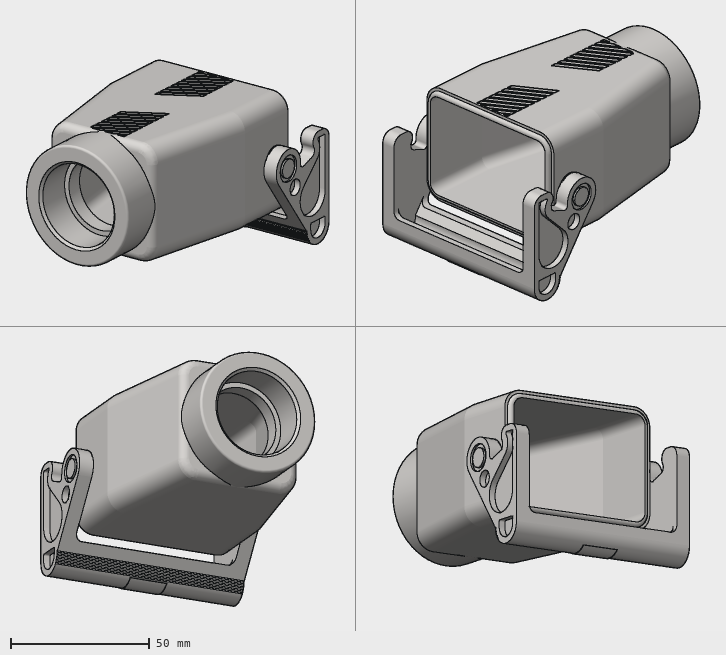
import cadquery as cq
import math


hood_half_width = 31.42
hood_half_height = 23.0
taper_start_y = -27.8
hood_end_y = -73.3
taper_angle = 10.4
corner_radius = 7.0
end_round = 3.2
wall = 3.0

lip_height = 1.4
lip_inset = 1.2

collar_radius = hood_half_height
collar_end_y = -88.4
collar_edge_round = 0.9
bore_radius = 15.95
bore_chamfer = 1.05
bore_depth = 14.5
throat_radius = 14.0
throat_length = 6.5

hatch_half_width = 7.6
hatch_top_y = -2.4
hatch_bottom_y = -69.7
hatch_angle = 30.0
band_pitch = 3.25
band_height = 2.2
engraving_depth = 0.2
mating_end_band_y = -1.4
mating_end_band_count = 9
collar_end_band_y = -50.8
collar_end_band_count = 9

lever_half_width = 37.5
lever_inner_half_width = 31.95
lever_back_y = 15.5
lever_wall = 2.45
lever_recess_depth = 2.5

pivot_y = -9.6
pivot_z = -2.0
pivot_radius = 7.5
pivot_groove_radius = 5.1
pivot_pin_radius = 3.65
pivot_groove_depth = 0.8
boss_radius = pivot_z + pivot_radius

eye_y = -5.45
eye_z = -10.6
eye_radius = 3.1

tip_back_radius = 4.0
nose_radius = 3.5
tip_top_z = 6.65
nose_y = 9.05
hook_z = 0.0
hook_radius = 2.3
nose_z = tip_top_z - nose_radius
hook_y = nose_y - math.sqrt((nose_radius + hook_radius) ** 2 - (nose_z - hook_z) ** 2)
hook_recess_radius = 5.55
ramp_end_y = pivot_y + pivot_radius
ramp_end_z = -4.7
ramp_round = 1.4

roll_radius = 6.9
roll_z = -30.2
roll_y = lever_back_y - roll_radius

crossbar_top_z = -26.1
crossbar_corner_radius = 2.8
channel_radius = roll_radius - lever_wall
channel_front_y = 1.84

recess_radius = 7.7
recess_z = -17.4
foot_recess_top_z = -27.7
recess_corner_round = 0.6

grip_groove_count = 5
grip_groove_angle = 9.0
grip_groove_radius = 0.25

badge_width = 14.6
badge_height = 0.2
badge_top_z = -35.0


def polar(center, radius, angle):
    """Point on a circle, with the angle in radians."""
    return center[0] + radius * math.cos(angle), center[1] + radius * math.sin(angle)


def heading(start, end):
    """Direction from one point to another, in radians."""
    return math.atan2(end[1] - start[1], end[0] - start[0])


def hood_outline(inset):
    """Plan of the hood from the mating face to its end, with parallel inset sides."""
    half_angle = math.radians(taper_angle) / 2
    shoulder_x = hood_half_width - inset
    shoulder_y = taper_start_y + inset * math.tan(half_angle)
    end_x = shoulder_x - (shoulder_y - hood_end_y) * math.tan(math.radians(taper_angle))
    return [
        (shoulder_x, -lip_height),
        (shoulder_x, shoulder_y),
        (end_x, hood_end_y),
        (-end_x, hood_end_y),
        (-shoulder_x, shoulder_y),
        (-shoulder_x, -lip_height),
    ]


def hood_block(inset):
    """Tapered block with rounded long edges, each side moved in by the inset."""
    half_height = hood_half_height - inset
    block = (
        cq.Workplane("XY")
        .workplane(offset=-half_height)
        .polyline(hood_outline(inset))
        .close()
        .extrude(2 * half_height)
    )
    long_edges = block.faces("|Z").edges("not |X")
    return long_edges.fillet(corner_radius - inset)


def y_cylinder(radius, start_y, end_y):
    """Cylinder on the hood axis between two Y positions."""
    return cq.Workplane("XZ", origin=(0, start_y, 0)).circle(radius).extrude(start_y - end_y)


def mating_block(inset, start_y, length):
    """Rounded rectangular block with the hood's cross-section, running to -Y."""
    return (
        cq.Workplane("XZ", origin=(0, start_y, 0))
        .rect(2 * (hood_half_width - inset), 2 * (hood_half_height - inset))
        .extrude(length)
        .edges("|Y")
        .fillet(corner_radius - inset)
    )


def make_hood():
    """Hood with its gasket lip, collar, bore and inner cavity."""
    body = hood_block(0).faces("<Y").edges().fillet(end_round)
    lip = mating_block(lip_inset, 0, 2 * lip_height).faces(">Y").edges().fillet(lip_height)
    collar = y_cylinder(collar_radius, hood_end_y + 2 * end_round, collar_end_y)
    collar = collar.faces("<Y").edges().fillet(collar_edge_round)
    hood = body.union(lip).union(collar)

    throat_start_y = collar_end_y + bore_depth
    cavity_end_y = throat_start_y + throat_length
    keep_rear = cq.Workplane("XY").box(
        2 * hood_half_width,
        -lip_height - cavity_end_y,
        2 * hood_half_height,
    ).translate((0, (cavity_end_y - lip_height) / 2, 0))
    cavity = hood_block(wall).intersect(keep_rear).union(mating_block(wall, 0, 2 * lip_height))
    bore = y_cylinder(bore_radius, throat_start_y, collar_end_y)
    mouth = (
        cq.Workplane("XZ", origin=(0, collar_end_y, 0))
        .circle(bore_radius + bore_chamfer)
        .workplane(offset=-bore_chamfer)
        .circle(bore_radius)
        .loft()
    )
    throat = y_cylinder(throat_radius, cavity_end_y, throat_start_y)
    return hood.cut(cavity).cut(bore).cut(mouth).cut(throat)


def hatch_bands(first_y, count):
    """Slanting bands, given the left-edge Y of the first band's upper side."""
    rise = 2 * hatch_half_width * math.tan(math.radians(hatch_angle))
    floor_z = hood_half_height - engraving_depth
    bands = cq.Workplane("XY", origin=(0, 0, floor_z))
    for index in range(count):
        top_y = first_y - index * band_pitch
        bottom_y = top_y - band_height
        bands = bands.polyline(
            [
                (-hatch_half_width, top_y),
                (-hatch_half_width, bottom_y),
                (hatch_half_width, bottom_y + rise),
                (hatch_half_width, top_y + rise),
            ]
        ).close()
    return bands.extrude(2 * engraving_depth)


def make_hatching():
    """Both fields of hatching, trimmed to the decorative strip."""
    length = hatch_top_y - hatch_bottom_y
    strip = (
        cq.Workplane("XY", origin=(0, (hatch_top_y + hatch_bottom_y) / 2, hood_half_height))
        .box(2 * hatch_half_width, length, 4 * engraving_depth)
    )
    mating_end_field = hatch_bands(mating_end_band_y, mating_end_band_count)
    collar_end_field = hatch_bands(collar_end_band_y, collar_end_band_count)
    return mating_end_field.union(collar_end_field).intersect(strip)


def front_edge_normal():
    """Direction square to the front edge, which runs from the roll to touch the pivot eye."""
    pivot = (pivot_y, pivot_z)
    roll_front = (roll_y - roll_radius, roll_z)
    return heading(pivot, roll_front) - math.acos(pivot_radius / math.dist(roll_front, pivot))


def lever_side():
    """Lever cross-section in YZ, extruded over the full width."""
    pivot = (pivot_y, pivot_z)
    nose = (nose_y, nose_z)
    hook = (hook_y, hook_z)
    roll_front = (roll_y - roll_radius, roll_z)
    ramp_end = (ramp_end_y, ramp_end_z)
    eye_rear = (pivot_y + pivot_radius, pivot_z)

    eye_touch = polar(pivot, pivot_radius, front_edge_normal())

    hook_offset = math.acos(hook_radius / math.dist(ramp_end, hook))
    ramp_touch_angle = heading(hook, ramp_end) + hook_offset
    ramp_touch = polar(hook, hook_radius, ramp_touch_angle)
    hook_touch = polar(hook, hook_radius, heading(hook, nose))
    hook_middle = polar(hook, hook_radius, (heading(hook, nose) + ramp_touch_angle) / 2)

    profile = (
        cq.Workplane("YZ", origin=(-lever_half_width, 0, 0))
        .moveTo(*roll_front)
        .lineTo(*eye_touch)
        .threePointArc(polar(pivot, pivot_radius, math.pi / 2), eye_rear)
        .lineTo(*ramp_end)
        .lineTo(*ramp_touch)
        .threePointArc(hook_middle, hook_touch)
        .threePointArc(polar(nose, nose_radius, 3 * math.pi / 4), (nose_y, tip_top_z))
        .lineTo(lever_back_y - tip_back_radius, tip_top_z)
        .tangentArcPoint((lever_back_y, tip_top_z - tip_back_radius), relative=False)
        .lineTo(lever_back_y, roll_z)
        .threePointArc((roll_y, roll_z - roll_radius), roll_front)
        .close()
        .extrude(2 * lever_half_width)
    )
    ramp_corner = cq.selectors.NearestToPointSelector((0, ramp_end_y, ramp_end_z))
    return profile.edges("|X").edges(ramp_corner).fillet(ramp_round)


def crossbar_window():
    """Opening between the arms, above the crossbar, that clears the hood."""
    height = tip_top_z - crossbar_top_z + crossbar_corner_radius
    return (
        cq.Workplane("XZ", origin=(0, 0, crossbar_top_z + height / 2))
        .rect(2 * lever_inner_half_width, height)
        .extrude(3 * lever_back_y, both=True)
        .edges("|Y")
        .fillet(crossbar_corner_radius)
    )


def crossbar_channel():
    """Trough along the crossbar, round below, with a front wall that slants like the outside."""
    rear_y = roll_y + channel_radius
    front_y = roll_y - channel_radius
    slant = math.tan(front_edge_normal())
    slant_start_z = crossbar_top_z - (front_y - channel_front_y) / slant
    top_z = crossbar_top_z + crossbar_corner_radius
    return (
        cq.Workplane("YZ", origin=(-lever_inner_half_width, 0, 0))
        .moveTo(rear_y, top_z)
        .lineTo(channel_front_y - crossbar_corner_radius * slant, top_z)
        .lineTo(front_y, slant_start_z)
        .lineTo(front_y, roll_z)
        .threePointArc((roll_y, roll_z - channel_radius), (rear_y, roll_z))
        .close()
        .extrude(2 * lever_inner_half_width)
    )


def outer_face_sketch():
    """Sketch plane on the lever's outer face at -X."""
    return cq.Workplane("YZ", origin=(-lever_half_width, 0, 0))


def teardrop_recess():
    """Large recess that follows the back edge, the hook and a lower round lobe."""
    rear_y = lever_back_y - lever_wall
    top_z = tip_top_z - lever_wall
    lobe = (rear_y - recess_radius, recess_z)
    hook = (hook_y, hook_z)

    cross_offset = math.acos((recess_radius + hook_recess_radius) / math.dist(lobe, hook))
    normal = heading(lobe, hook) + cross_offset
    lobe_touch = polar(lobe, recess_radius, normal)
    hook_touch = polar(hook, hook_recess_radius, normal - math.pi)
    hook_top_y = hook_y + math.sqrt(hook_recess_radius**2 - (top_z - hook_z) ** 2)
    recess = (
        outer_face_sketch()
        .moveTo(rear_y, recess_z)
        .lineTo(rear_y, top_z)
        .lineTo(hook_top_y, top_z)
        .threePointArc((hook_y + hook_recess_radius, hook_z), hook_touch)
        .lineTo(*lobe_touch)
        .threePointArc((lobe[0], recess_z - recess_radius), (rear_y, recess_z))
        .close()
        .extrude(lever_recess_depth)
    )
    return recess.edges("|X").edges(">Z").fillet(recess_corner_round)


def foot_recess():
    """D-shaped recess concentric with the roll."""
    recess = (
        outer_face_sketch()
        .moveTo(roll_y + channel_radius, roll_z)
        .lineTo(roll_y + channel_radius, foot_recess_top_z)
        .lineTo(roll_y - channel_radius, foot_recess_top_z)
        .lineTo(roll_y - channel_radius, roll_z)
        .threePointArc((roll_y, roll_z - channel_radius), (roll_y + channel_radius, roll_z))
        .close()
        .extrude(lever_recess_depth)
    )
    return recess.edges("|X").edges(">Z").fillet(recess_corner_round)


def arm_recesses():
    """All recesses in the outer face of the arm at -X."""
    eye = outer_face_sketch().center(eye_y, eye_z).circle(eye_radius).extrude(lever_recess_depth)
    pivot_groove = (
        outer_face_sketch()
        .center(pivot_y, pivot_z)
        .circle(pivot_groove_radius)
        .circle(pivot_pin_radius)
        .extrude(pivot_groove_depth)
    )
    return teardrop_recess().union(foot_recess()).union(eye).union(pivot_groove)


def grip_grooves():
    """Fine grooves along the front of the roll."""
    centers = [
        polar((roll_y, roll_z), roll_radius, math.pi + math.radians(index * grip_groove_angle))
        for index in range(grip_groove_count)
    ]
    return (
        outer_face_sketch()
        .pushPoints(centers)
        .circle(grip_groove_radius)
        .extrude(2 * lever_half_width)
    )


def badge_pad():
    """Thin raised pad around the underside of the roll."""
    pad_radius = roll_radius + badge_height
    pad_depth = badge_top_z - roll_z + pad_radius
    band = (
        cq.Workplane("YZ", origin=(-badge_width / 2, roll_y, roll_z))
        .circle(pad_radius)
        .circle(channel_radius + lever_wall / 2)
        .extrude(badge_width)
    )
    keep_bottom = cq.Workplane("XY", origin=(0, roll_y, badge_top_z - pad_depth)).box(
        badge_width, 2 * pad_radius, 2 * pad_depth
    )
    return band.intersect(keep_bottom)


def make_lever():
    """Complete locking lever."""
    recesses = arm_recesses()
    lever = lever_side().cut(crossbar_window()).cut(crossbar_channel())
    lever = lever.cut(recesses).cut(recesses.mirror("YZ")).cut(grip_grooves())
    return lever.union(badge_pad())


def pivot_boss():
    """Round boss from the hood's -X side to the inner face of the lever."""
    return (
        cq.Workplane("YZ", origin=(-lever_inner_half_width, pivot_y, 0))
        .circle(boss_radius)
        .extrude(lever_inner_half_width - hood_half_width + wall / 2)
    )


hood = make_hood().cut(make_hatching())
boss = pivot_boss()
result = hood.union(boss).union(boss.mirror("YZ")).union(make_lever())